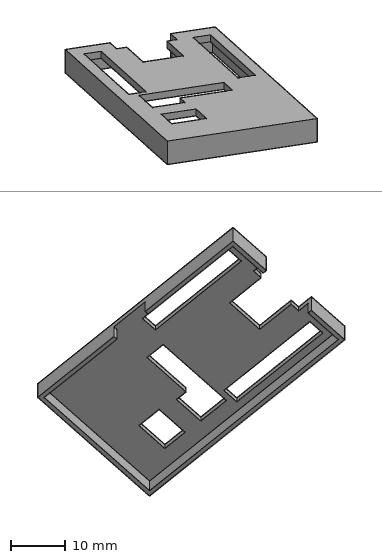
import cadquery as cq

LENGTH = 49.75
WIDTH = 29.9
HEIGHT = 4.7
PLATE = 1.4
WALL = 0.85

NOTCH_MOUTH_DEPTH = 3.25
NOTCH_MOUTH_WIDTH = 12.05
NOTCH_DEPTH = 11.25
NOTCH_WIDTH = 8.0

SLOT_START = 3.4
SLOT_LENGTH = 21.9
SLOT_WIDTH = 3.45
SLOT_EDGE = 2.35

L_LEFT = 26.45
L_FRONT = 3.9
L_FOOT_LENGTH = 6.5
L_STEM_LENGTH = 4.1
L_FOOT_WIDTH = 6.45
L_WIDTH = 16.9

WINDOW_LEFT = 36.8
WINDOW_FRONT = 4.1
WINDOW_LENGTH = 5.1
WINDOW_WIDTH = 6.9

GAP_START = 22.4
GAP_LENGTH = 7.95


def block(x, y, length, width, height=HEIGHT):
    """Box standing on the base plane, placed by its lower left front corner."""
    return cq.Workplane("XY").box(length, width, height, centered=False).translate((x, y, 0))


def centred_notch(depth, width):
    return block(0, (WIDTH - width) / 2, depth, width)


def cover():
    cavity = block(WALL, WALL, LENGTH - 2 * WALL, WIDTH - 2 * WALL, HEIGHT - PLATE)
    return block(0, 0, LENGTH, WIDTH).cut(cavity)


def l_window():
    foot = block(L_LEFT, L_FRONT, L_FOOT_LENGTH, L_FOOT_WIDTH)
    stem = block(L_LEFT, L_FRONT, L_STEM_LENGTH, L_WIDTH)
    return foot.union(stem)


result = cover()
result = result.cut(centred_notch(NOTCH_MOUTH_DEPTH, NOTCH_MOUTH_WIDTH))
result = result.cut(centred_notch(NOTCH_DEPTH, NOTCH_WIDTH))
for slot_front in (SLOT_EDGE, WIDTH - SLOT_EDGE - SLOT_WIDTH):
    result = result.cut(block(SLOT_START, slot_front, SLOT_LENGTH, SLOT_WIDTH))
result = result.cut(l_window())
result = result.cut(block(WINDOW_LEFT, WINDOW_FRONT, WINDOW_LENGTH, WINDOW_WIDTH))
result = result.cut(block(GAP_START, WIDTH - WALL, GAP_LENGTH, WALL, HEIGHT - PLATE))